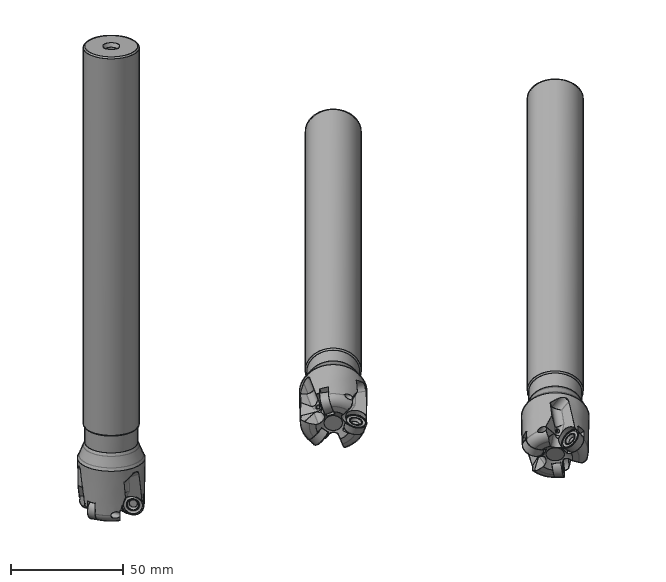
import cadquery as cq
import math

overall_length = 227.5
shank_radius = 12.5
shank_chamfer = 0.7
neck_radius = 11.8
neck_top_z = 43.0
neck_bottom_z = 34.0

head_radius = 30.2 / 2
head_bottom_radius = 14.8
head_bottom_z = 0.7
head_corner_radius = 4.0
shoulder_inset = 0.7
shoulder_blend_height = 1.4
shoulder_bottom_z = 26.5
dish_radius = 7.7
dish_inner_radius = 4.0
dish_depth = 2.3

coolant_radius = 2.7
center_cone_radius = 7.5 / 2
center_cone_half_angle = 30.0
coolant_bottom_z = 18.2
outlet_radius = 1.0
outlet_target = (6.0, -5.5, 9.5)

insert_count = 3
first_insert_angle = 60.0
insert_radius = 5.0
insert_thickness = 4.0
insert_clearance_angle = 7.0
insert_center_radius = 10.0
insert_lead = 1.5
insert_recess_radius = 2.5
insert_recess_depth = 1.4
insert_recess_taper = 27.0
chip_groove_radius = 3.6
chip_groove_section = 0.7
screw_hole_radius = 1.5
seat_reach = 2 * insert_radius

flute_tilt = 12.0
flute_wall_lead = 3.0
flute_inner_x = 4.5
flute_floor_angle = 27.0
flute_relief_height = 6.4
flute_relief_angle = 20.0
flute_roof_height = 17.3
flute_roof_angle = 28.0
flute_corner_radius = 2.7

gullet_floor_angle = 8.0
gullet_relief_height = -1.1
gullet_relief_angle = 8.0
gullet_roof_height = 3.5
gullet_roof_angle = 65.0
gullet_corner_radius = 1.8

cutter_reach = 27.3
wall_block_size = 8 * cutter_reach


def make_blank():
    """Turned shape: shank, neck, shoulder cone and head with a rounded lower corner."""
    corner_z = head_bottom_z + head_corner_radius
    diagonal = head_corner_radius * math.sqrt(0.5)
    corner_center_x = head_bottom_radius - head_corner_radius
    return (
        cq.Workplane("XZ")
        .moveTo(0, head_bottom_z)
        .lineTo(corner_center_x, head_bottom_z)
        .threePointArc((corner_center_x + diagonal, corner_z - diagonal), (head_bottom_radius, corner_z))
        .lineTo(head_radius, shoulder_bottom_z)
        .lineTo(head_radius - shoulder_inset, shoulder_bottom_z + shoulder_blend_height)
        .lineTo(neck_radius + shoulder_inset, neck_bottom_z - shoulder_blend_height)
        .lineTo(neck_radius, neck_bottom_z)
        .lineTo(neck_radius, neck_top_z - shoulder_inset)
        .lineTo(shank_radius, neck_top_z)
        .lineTo(shank_radius, overall_length - shank_chamfer)
        .lineTo(shank_radius - shank_chamfer, overall_length)
        .lineTo(0, overall_length)
        .close()
        .revolve(360, (0, 0, 0), (0, 1, 0))
    )


def make_coolant_bore():
    """Axial bore with a centring cone at the shank end."""
    cone_depth = (center_cone_radius - coolant_radius) / math.tan(math.radians(center_cone_half_angle))
    return (
        cq.Workplane("XZ")
        .moveTo(0, coolant_bottom_z)
        .lineTo(coolant_radius, coolant_bottom_z)
        .lineTo(coolant_radius, overall_length - cone_depth)
        .lineTo(center_cone_radius, overall_length)
        .lineTo(0, overall_length)
        .close()
        .revolve(360, (0, 0, 0), (0, 1, 0))
    )


def make_bottom_dish():
    """Shallow conical recess in the tip face."""
    dish_top_z = head_bottom_z + dish_depth
    return (
        cq.Workplane("XZ")
        .moveTo(0, head_bottom_z)
        .lineTo(dish_radius, head_bottom_z)
        .lineTo(dish_inner_radius, dish_top_z)
        .lineTo(0, dish_top_z)
        .close()
        .revolve(360, (0, 0, 0), (0, 1, 0))
    )


def insert_face():
    """Workplane on the insert face, centred on the insert; its normal points ahead (-Y)."""
    return cq.Workplane("XZ", origin=(insert_center_radius, -insert_lead, insert_radius))


def make_insert_envelope():
    """Insert without its face details: a disc with clearance around its edge."""
    return insert_face().circle(insert_radius).extrude(-insert_thickness, taper=insert_clearance_angle)


def make_insert():
    """Round insert with a tapered recess and a ring-shaped chip groove in its face."""
    recess = (
        insert_face()
        .circle(insert_recess_radius)
        .extrude(-insert_recess_depth, taper=insert_recess_taper)
    )
    face_center = cq.Vector(insert_center_radius, -insert_lead, insert_radius)
    groove = cq.Solid.makeTorus(chip_groove_radius, chip_groove_section, face_center, cq.Vector(0, 1, 0))
    return make_insert_envelope().cut(recess).cut(cq.Workplane(obj=groove))


def make_insert_seat():
    """Recess around the insert, open outwards, downwards and ahead, with the screw hole behind it."""
    opening = (
        insert_face()
        .moveTo(-insert_radius, -seat_reach)
        .lineTo(-insert_radius, 0)
        .radiusArc((0, insert_radius), insert_radius)
        .lineTo(seat_reach, insert_radius)
        .lineTo(seat_reach, -seat_reach)
        .close()
    )
    pocket = opening.extrude(-insert_thickness)
    clearance = insert_face().circle(insert_radius).extrude(insert_radius)
    screw_hole = insert_face().circle(screw_hole_radius).extrude(-2 * head_radius)
    return pocket.union(clearance).union(screw_hole)


def make_chip_space(floor_angle, relief_height, relief_angle, roof_height, roof_angle, corner_radius):
    """Tilted space ahead of an insert: broken floor and sloping roof, rounded along the flat wall."""
    relief = (relief_height + cutter_reach) * math.tan(math.radians(relief_angle))
    roof_rise = cutter_reach * math.tan(math.radians(roof_angle))
    space = (
        cq.Workplane("XZ")
        .moveTo(-relief, -cutter_reach)
        .lineTo(0, relief_height)
        .lineTo(0, roof_height)
        .lineTo(cutter_reach, roof_height + roof_rise)
        .lineTo(cutter_reach, -cutter_reach)
        .close()
        .extrude(cutter_reach, both=True)
        .rotate((0, 0, 0), (0, 0, 1), floor_angle)
    )
    beyond_wall = cq.Workplane("XY").box(
        wall_block_size, wall_block_size, wall_block_size, centered=(True, False, True)
    )
    space = space.cut(beyond_wall)
    wall_corners = space.faces(">Y").edges("not(<Z or >X)")
    return (
        wall_corners.fillet(corner_radius)
        .rotate((0, 0, 0), (1, 0, 0), flute_tilt)
        .translate((flute_inner_x, -flute_wall_lead, insert_radius))
    )


def make_flute():
    """Long chip flute that runs up the head."""
    return make_chip_space(
        flute_floor_angle,
        flute_relief_height,
        flute_relief_angle,
        flute_roof_height,
        flute_roof_angle,
        flute_corner_radius,
    )


def make_gullet():
    """Short, wider cut at the lower end of the flute."""
    return make_chip_space(
        gullet_floor_angle,
        gullet_relief_height,
        gullet_relief_angle,
        gullet_roof_height,
        gullet_roof_angle,
        gullet_corner_radius,
    )


def make_coolant_outlet():
    """Inclined hole from the bottom of the coolant bore into the flute."""
    start = cq.Vector(0, 0, coolant_bottom_z)
    direction = cq.Vector(*outlet_target) - start
    return cq.Workplane(obj=cq.Solid.makeCylinder(outlet_radius, direction.Length, start, direction))


def at_insert(shape, index):
    """Turn a shape about the Z axis from the +X position to the position of one insert."""
    angle = first_insert_angle + index * 360.0 / insert_count
    return shape.rotate((0, 0, 0), (0, 0, 1), angle)


holder = make_blank().cut(make_coolant_bore()).cut(make_bottom_dish())
inserts = []
for index in range(insert_count):
    for cutter in (make_flute(), make_gullet(), make_insert_seat(), make_coolant_outlet()):
        holder = holder.cut(at_insert(cutter, index))
    inserts.append(at_insert(make_insert(), index).val())

result = cq.Compound.makeCompound([holder.val(), *inserts])